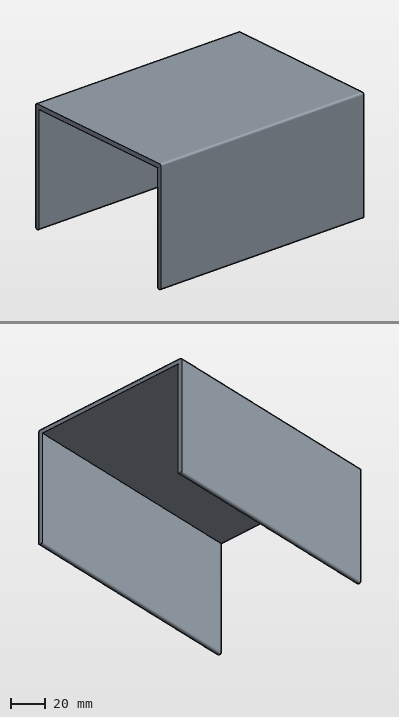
import cadquery as cq

width = 111.0
length = 152.4
height = 79.2
thickness = 3.0
edge_radius = 1.4

inner_width = width - 2 * thickness
inner_height = height - thickness

outer_block = cq.Workplane("XY").box(width, length, height, centered=(True, True, False))
inside_space = cq.Workplane("XY").box(inner_width, length, inner_height, centered=(True, True, False))
channel = outer_block.cut(inside_space)

rounded_top = channel.edges("|Y and >Z").fillet(edge_radius)
result = rounded_top.faces("<Z").edges("|Y").fillet(edge_radius)